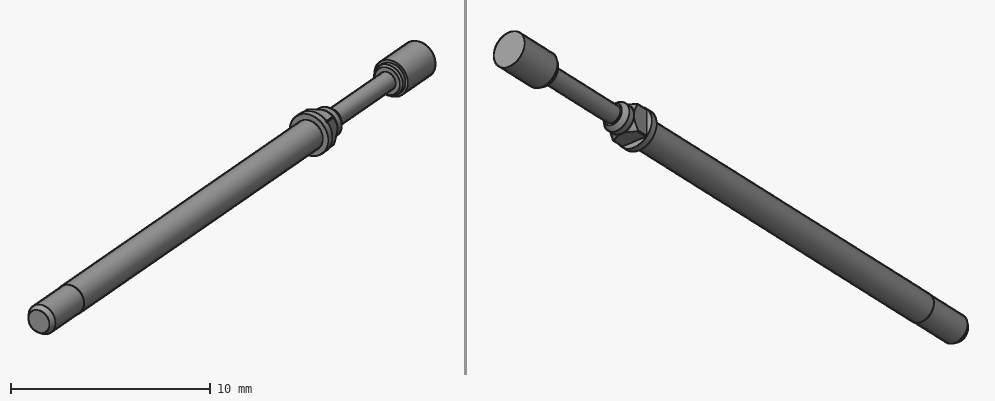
import cadquery as cq

total_length = 35.77

head_diameter = 2.0
head_length = 2.97
rim_diameter = 1.7
rim_length = 0.35
rim_chamfer = 0.1
stem_diameter = 1.0
stem_length = 5.25

barrel_diameter = 1.65
mouth_diameter = 1.2
mouth_length = 0.32

neck_length = 0.4
square_width = 1.6
square_corner_diameter = 2.2
square_taper_length = 0.32
square_length = 1.0

flange_diameter = 2.3
flange_thickness = 0.4

tail_diameter = 1.6
tail_length = 2.97
tip_diameter = 1.25
tip_length = 0.3

head_end = total_length / 2
tail_end = -total_length / 2
head_back = head_end - head_length
mouth_start = head_back - stem_length
neck_start = mouth_start - mouth_length
square_start = neck_start - neck_length
flange_start = square_start - square_length
flange_back = flange_start - flange_thickness
tail_start = tail_end + tail_length


def frustum(y_high, y_low, high_diameter, low_diameter):
    """Round section about the Y axis, running between two stations."""
    profile = [
        (0, y_high),
        (high_diameter / 2, y_high),
        (low_diameter / 2, y_low),
        (0, y_low),
    ]
    return cq.Workplane("XY").polyline(profile).close().revolve(360, (0, 0), (0, 1))


def cylinder(y_high, y_low, diameter):
    return frustum(y_high, y_low, diameter, diameter)


def make_plunger():
    """Head with a narrower chamfered rim behind it, carried on a thin stem."""
    rim_start = head_back + rim_length
    chamfer_start = head_back + rim_chamfer
    head = cylinder(head_end, rim_start, head_diameter)
    rim = cylinder(rim_start, chamfer_start, rim_diameter)
    chamfer = frustum(chamfer_start, head_back, rim_diameter, rim_diameter - 2 * rim_chamfer)
    stem = cylinder(head_back, mouth_start, stem_diameter)
    return head.union(rim).union(chamfer).union(stem)


def make_square():
    """Square prism whose corners are rounded off and tapered towards the neck."""
    prism = cq.Workplane("XY").box(square_width, square_length, square_width)
    prism = prism.translate((0, flange_start + square_length / 2, 0))
    taper_end = square_start - square_taper_length
    envelope = frustum(square_start, taper_end, square_width, square_corner_diameter)
    envelope = envelope.union(cylinder(taper_end, flange_start, square_corner_diameter))
    return prism.intersect(envelope)


def make_barrel():
    mouth = frustum(mouth_start, neck_start, mouth_diameter, barrel_diameter)
    neck = cylinder(neck_start, square_start, barrel_diameter)
    flange = cylinder(flange_start, flange_back, flange_diameter)
    tube = cylinder(flange_back, tail_start, barrel_diameter)
    return mouth.union(neck).union(make_square()).union(flange).union(tube)


def make_tail():
    tip_start = tail_end + tip_length
    tail = cylinder(tail_start, tip_start, tail_diameter)
    tip = frustum(tip_start, tail_end, tail_diameter, tip_diameter)
    return tail.union(tip)


result = make_plunger().union(make_barrel()).union(make_tail())